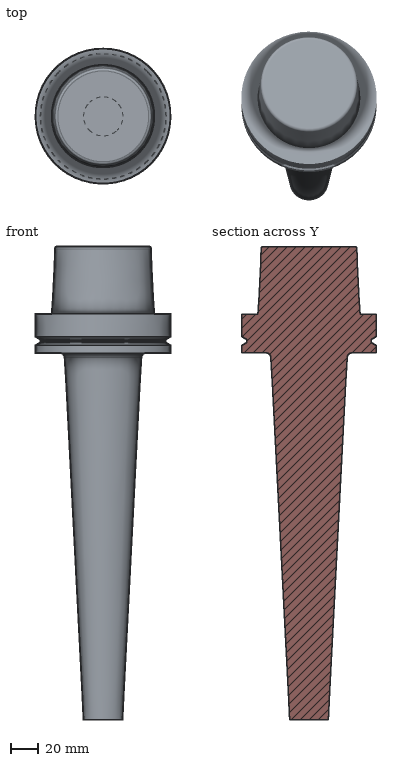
import cadquery as cq
import math

SHANK_LENGTH = 50.0
OVERALL_LENGTH = 350.0
TIP_Z = SHANK_LENGTH - OVERALL_LENGTH

SHANK_BASE_RADIUS = 38.0
SHANK_TOP_RADIUS = 35.5
SHANK_EDGE_FILLET = 2.0

FLANGE_RADIUS = 50.0
FLANGE_HEIGHT = 29.0
FLANGE_BOTTOM_Z = -FLANGE_HEIGHT
GROOVE_CENTRE_Z = -20.0
GROOVE_MOUTH_WIDTH = 6.5
GROOVE_DEPTH = 3.75
GROOVE_FLANK_ANGLE = 30.0
GROOVE_FLOOR_FILLET = 0.75

NECK_TOP_RADIUS = 28.5
NECK_TIP_RADIUS = 14.5
NECK_FILLET = 3.0


def start_profile():
    """Half-profile plane: local x is the radius, local y is Z."""
    return cq.Workplane("YZ")


def revolve_about_z(profile):
    """Close a half-profile and turn it once around the Z axis."""
    return profile.close().revolve(360, (0, 0, 0), (0, 1, 0))


def make_shank():
    """Tapered shank with a rounded top edge."""
    shank = revolve_about_z(
        start_profile()
        .lineTo(SHANK_BASE_RADIUS, 0)
        .lineTo(SHANK_TOP_RADIUS, SHANK_LENGTH)
        .lineTo(0, SHANK_LENGTH)
    )
    return shank.faces(">Z").edges().fillet(SHANK_EDGE_FILLET)


def make_flange():
    """Flange with a trapezoidal groove whose floor corners are rounded."""
    mouth_half = GROOVE_MOUTH_WIDTH / 2
    flank_rise = GROOVE_DEPTH * math.tan(math.radians(GROOVE_FLANK_ANGLE))
    floor_half = mouth_half - flank_rise
    floor_radius = FLANGE_RADIUS - GROOVE_DEPTH
    flange = revolve_about_z(
        start_profile()
        .lineTo(FLANGE_RADIUS, 0)
        .lineTo(FLANGE_RADIUS, GROOVE_CENTRE_Z + mouth_half)
        .lineTo(floor_radius, GROOVE_CENTRE_Z + floor_half)
        .lineTo(floor_radius, GROOVE_CENTRE_Z - floor_half)
        .lineTo(FLANGE_RADIUS, GROOVE_CENTRE_Z - mouth_half)
        .lineTo(FLANGE_RADIUS, FLANGE_BOTTOM_Z)
        .lineTo(0, FLANGE_BOTTOM_Z)
    )
    floor_edges = flange.edges(cq.selectors.RadiusNthSelector(0))
    return floor_edges.fillet(GROOVE_FLOOR_FILLET)


def make_neck():
    """Tapered neck, blended into the underside of the flange by a concave fillet."""
    return revolve_about_z(
        start_profile()
        .moveTo(0, FLANGE_BOTTOM_Z)
        .lineTo(NECK_TOP_RADIUS + NECK_FILLET, FLANGE_BOTTOM_Z)
        .radiusArc((NECK_TOP_RADIUS, FLANGE_BOTTOM_Z - NECK_FILLET), -NECK_FILLET)
        .lineTo(NECK_TIP_RADIUS, TIP_Z)
        .lineTo(0, TIP_Z)
    )


result = make_flange().union(make_shank()).union(make_neck())